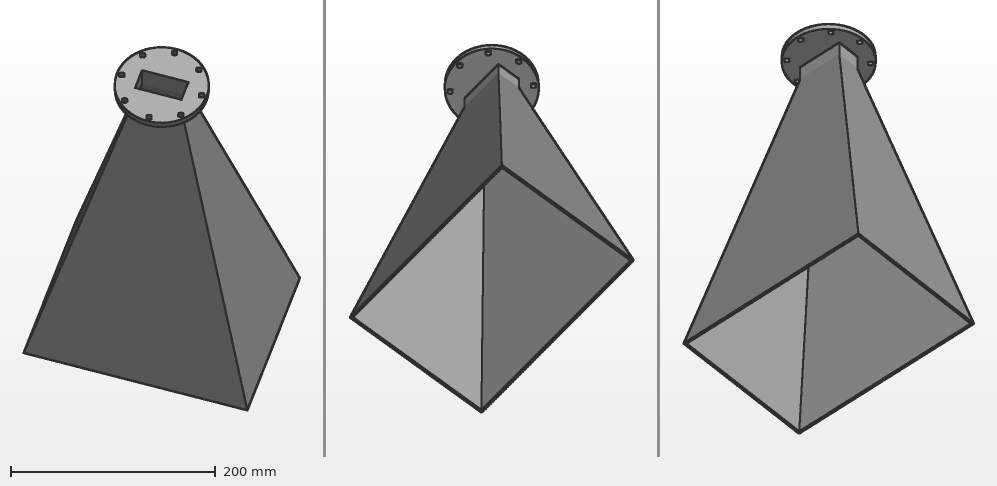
import cadquery as cq

height = 379.0
mouth_x = 229.7
mouth_y = 169.0

bore_x = 47.5
bore_y = 22.5
wall = 2.0

neck_bottom = 356.0
flange_diameter = 92.0
flange_thickness = 7.0
flange_bottom = height - flange_thickness

bolt_count = 8
bolt_circle_diameter = 82.0
bolt_hole_diameter = 5.3


def horn_body(inset):
    """Flare and neck, with every side moved inwards by inset."""
    neck_x = bore_x + 2 * (wall - inset)
    neck_y = bore_y + 2 * (wall - inset)
    flare = (
        cq.Workplane("XY")
        .rect(mouth_x - 2 * inset, mouth_y - 2 * inset)
        .workplane(offset=neck_bottom)
        .rect(neck_x, neck_y)
        .loft(ruled=True)
    )
    neck = (
        cq.Workplane("XY", origin=(0, 0, neck_bottom))
        .rect(neck_x, neck_y)
        .extrude(height - neck_bottom)
    )
    return flare.union(neck)


def flange():
    """Round plate with a ring of through bolt holes."""
    plate = (
        cq.Workplane("XY", origin=(0, 0, flange_bottom))
        .circle(flange_diameter / 2)
        .extrude(flange_thickness)
    )
    return (
        plate.faces(">Z")
        .workplane()
        .polarArray(bolt_circle_diameter / 2, 0, 360, bolt_count)
        .hole(bolt_hole_diameter)
    )


result = horn_body(0).union(flange()).cut(horn_body(wall))